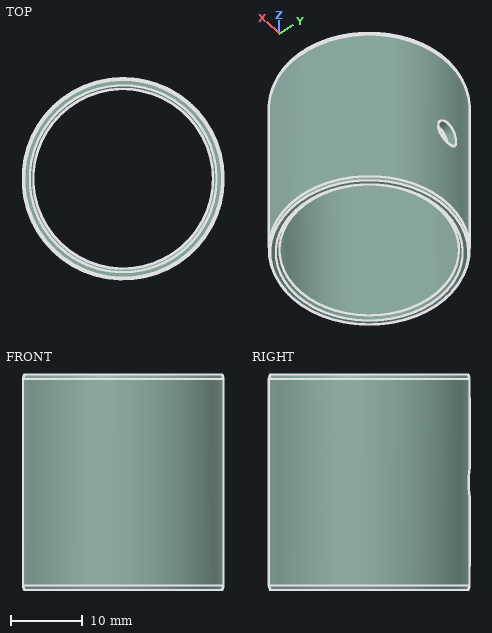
import cadquery as cq

length = 30.0
outer_diameter = 28.0
bore_diameter = 25.0
outer_chamfer_height = 0.6
outer_chamfer_depth = 0.2
bore_chamfer = 0.5
oil_hole_diameter = 4.0

outer_radius = outer_diameter / 2
bore_radius = bore_diameter / 2
half_length = length / 2


def sleeve():
    """Revolve the wall section, with its four chamfered corners, around Z."""
    chamfer_start = half_length - outer_chamfer_height
    bore_chamfer_start = half_length - bore_chamfer
    face_outer_radius = outer_radius - outer_chamfer_depth
    face_inner_radius = bore_radius + bore_chamfer
    section = (
        cq.Workplane("XZ")
        .moveTo(bore_radius, -bore_chamfer_start)
        .lineTo(face_inner_radius, -half_length)
        .lineTo(face_outer_radius, -half_length)
        .lineTo(outer_radius, -chamfer_start)
        .lineTo(outer_radius, chamfer_start)
        .lineTo(face_outer_radius, half_length)
        .lineTo(face_inner_radius, half_length)
        .lineTo(bore_radius, bore_chamfer_start)
        .close()
    )
    return section.revolve(360, (0, 0, 0), (0, 1, 0))


def oil_hole():
    """Radial cutter through the +Y wall at mid-length."""
    return cq.Workplane("XZ").circle(oil_hole_diameter / 2).extrude(-outer_diameter)


result = sleeve().cut(oil_hole())